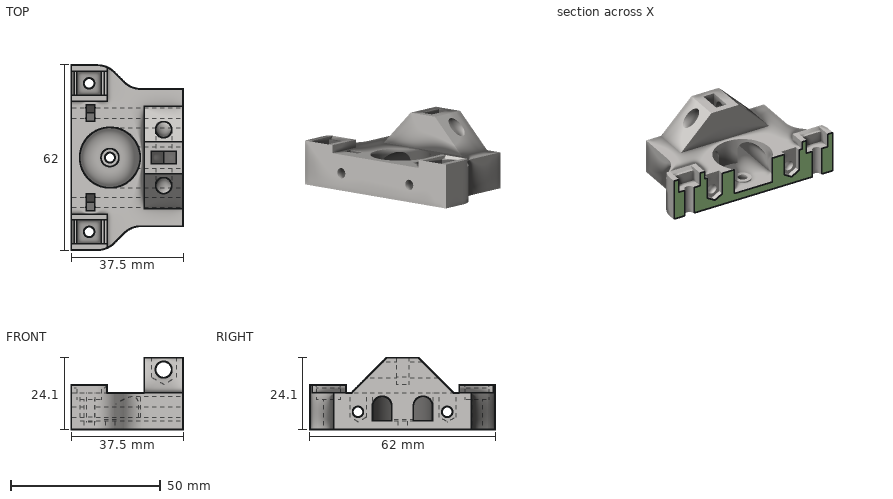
import cadquery as cq
import math

length_x = 37.5
wide_y = 62.0
narrow_y = 46.0
plate_height = 12.3
shoulder_radius = 8.0

pad_size = 12.1
pad_height = 15.0
pocket_size = 8.1
pocket_depth = 4.9
pocket_y = 24.85
lip_size = 1.0
screw_diameter = 3.5

bore_x = 13.0
bore_diameter = 20.3
bore_floor = 3.0
center_hole_diameter = 3.3
boss_diameter = 6.0
boss_height = 0.5
tunnel_y = 6.8
tunnel_width = 6.4
tunnel_top = 11.15

side_screw_y = 14.95
side_screw_z = 5.95
side_nut_x = 6.5
side_nut_thickness = 3.0
side_nut_width = 5.65

total_height = 24.1
block_length = 13.0
block_top_y = 10.65
rod_z = 20.1
rod_diameter = 5.4
rod_nut_thickness = 4.1
rod_nut_width = 8.45

pad_x = pad_size / 2
block_x = length_x - block_length / 2


def make_plate():
    """Plate whose sides step in through a 45 degree shoulder with rounded corners."""
    shoulder_end_x = pad_size + (wide_y - narrow_y) / 2
    half_outline = [
        (0, wide_y / 2),
        (pad_size, wide_y / 2),
        (shoulder_end_x, narrow_y / 2),
        (length_x, narrow_y / 2),
    ]
    mirrored_outline = [(x, -y) for x, y in reversed(half_outline)]
    outline = cq.Workplane("XY").polyline(half_outline + mirrored_outline).close()
    shoulder_edges = outline.extrude(pad_height).edges("|Z").edges("not (<X or >X)")
    return shoulder_edges.fillet(shoulder_radius)


def lower_between_pads(plate):
    """Lower the plate everywhere except on the two corner pads."""
    step = pad_height - plate_height
    bottom = cq.Workplane("XY").workplane(offset=plate_height)
    behind_pads = bottom.center(pad_size + length_x / 2, 0).rect(length_x, wide_y).extrude(step)
    between_pads = bottom.center(pad_x, 0).rect(pad_size, wide_y - 2 * pad_size).extrude(step)
    return plate.cut(behind_pads).cut(between_pads)


def make_pad_pocket(y):
    """Square pocket with flat ledges and 45 degree lips at both X ends, plus a screw hole."""
    ledge_z = pad_height - lip_size
    floor_z = pad_height - pocket_depth
    pocket_profile = [
        (0, pad_height),
        (lip_size, ledge_z),
        (pad_x - pocket_size / 2, ledge_z),
        (pad_x - pocket_size / 2, floor_z),
        (pad_x + pocket_size / 2, floor_z),
        (pad_x + pocket_size / 2, ledge_z),
        (pad_size - lip_size, ledge_z),
        (pad_size, pad_height),
    ]
    pocket = (
        cq.Workplane("XZ", origin=(0, y, 0))
        .polyline(pocket_profile)
        .close()
        .extrude(pocket_size / 2, both=True)
    )
    hole = cq.Workplane("XY").center(pad_x, y).circle(screw_diameter / 2).extrude(pad_height)
    return pocket.union(hole)


def make_bore():
    """Blind bore that leaves a low boss on its floor, with a through hole at its center."""
    axis = cq.Workplane("XY").center(bore_x, 0)
    floor = axis.workplane(offset=bore_floor)
    bore = floor.circle(bore_diameter / 2).extrude(plate_height - bore_floor)
    boss = floor.circle(boss_diameter / 2).extrude(boss_height)
    hole = axis.circle(center_hole_diameter / 2).extrude(plate_height)
    return bore.cut(boss).union(hole)


def make_tunnel(y):
    """Round-topped tunnel from the bore out through the +X face."""
    radius = tunnel_width / 2
    spring_z = tunnel_top - radius
    return (
        cq.Workplane("YZ", origin=(bore_x, 0, 0))
        .moveTo(y - radius, bore_floor)
        .lineTo(y - radius, spring_z)
        .threePointArc((y, tunnel_top), (y + radius, spring_z))
        .lineTo(y + radius, bore_floor)
        .close()
        .extrude(length_x - bore_x)
    )


def make_nut_slot(plane, origin, width, thickness, top_z):
    """Slot open at the top, ending in the lower half of a hexagonal nut centered on origin."""
    corner_drop = width / 2 * math.tan(math.radians(30))
    tip_drop = 2 * corner_drop
    rise = top_z - origin[2]
    return (
        cq.Workplane(plane, origin=origin)
        .moveTo(-width / 2, rise)
        .lineTo(-width / 2, -corner_drop)
        .lineTo(0, -tip_drop)
        .lineTo(width / 2, -corner_drop)
        .lineTo(width / 2, rise)
        .close()
        .extrude(thickness / 2, both=True)
    )


def make_side_screw(y):
    """Screw hole along X with its nut slot."""
    hole = (
        cq.Workplane("YZ", origin=(0, y, side_screw_z)).circle(screw_diameter / 2).extrude(length_x)
    )
    nut_center = (side_nut_x, y, side_screw_z)
    return hole.union(make_nut_slot("YZ", nut_center, side_nut_width, side_nut_thickness, plate_height))


def make_block():
    """Block with 45 degree flanks that stands on the plate at its +X end."""
    block_base_y = block_top_y + 2 * (total_height - plate_height)
    flank_profile = [
        (-block_base_y / 2, plate_height),
        (-block_top_y / 2, total_height),
        (block_top_y / 2, total_height),
        (block_base_y / 2, plate_height),
    ]
    return (
        cq.Workplane("YZ", origin=(length_x - block_length, 0, 0))
        .polyline(flank_profile)
        .close()
        .extrude(block_length)
    )


def make_rod_hole():
    """Hole along Y through the block with its nut slot."""
    rod_center = (block_x, 0, rod_z)
    hole = (
        cq.Workplane("XZ", origin=rod_center).circle(rod_diameter / 2).extrude(wide_y / 2, both=True)
    )
    return hole.union(make_nut_slot("XZ", rod_center, rod_nut_width, rod_nut_thickness, total_height))


result = lower_between_pads(make_plate()).union(make_block())
result = result.cut(make_bore()).cut(make_rod_hole())
for side in (-1, 1):
    result = result.cut(make_pad_pocket(side * pocket_y))
    result = result.cut(make_tunnel(side * tunnel_y))
    result = result.cut(make_side_screw(side * side_screw_y))